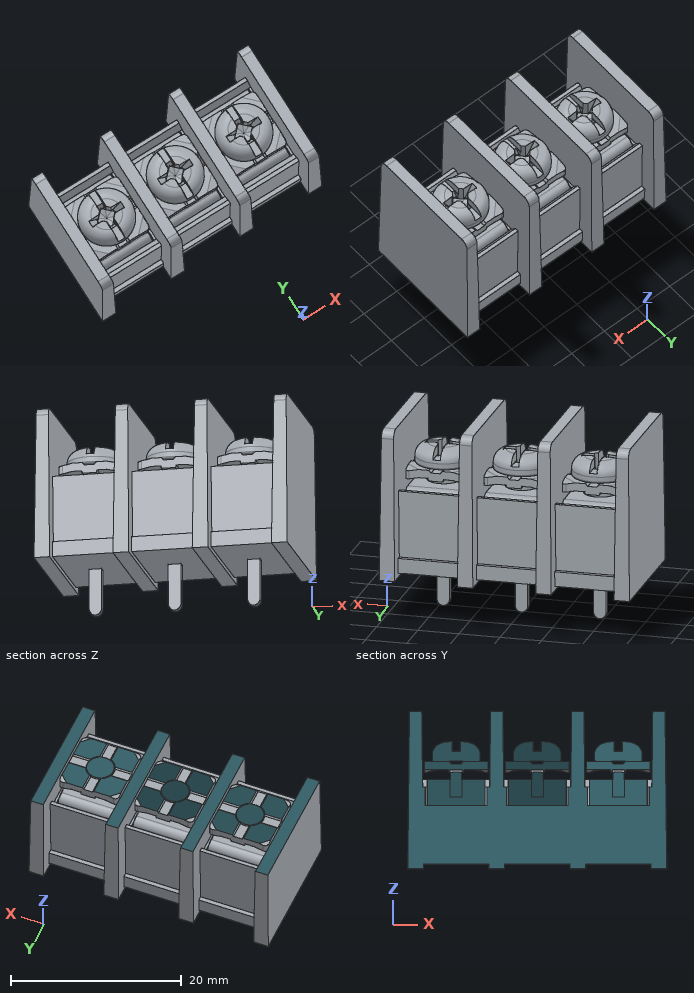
import cadquery as cq
import math


TOTAL_LENGTH = 30.4
POLE_COUNT = 3

DIVIDER_FOOT_X = 1.9
DIVIDER_FOOT_Y = 16.3
DIVIDER_TOP_X = 1.5
DIVIDER_TOP_Y = 15.7
DIVIDER_HEIGHT = 18.48
DIVIDER_CORNER_RADIUS = 1.0
PITCH = (TOTAL_LENGTH - DIVIDER_FOOT_X) / POLE_COUNT
POLE_CENTRES = [(i - (POLE_COUNT - 1) / 2) * PITCH for i in range(POLE_COUNT)]

BODY_LENGTH = POLE_COUNT * PITCH
BODY_DEPTH = 11.8
BODY_TOP = 10.5
FLANGE_DEPTH = 12.9
FLANGE_BOTTOM = 0.52
FLANGE_TOP = 2.35
RIM_WIDTH = 0.5
SEAT_DEPTH = 0.88

TERMINAL_X = 6.8
TERMINAL_Y = 9.42
TERMINAL_HEIGHT = 3.05
TERMINAL_EDGE_RADIUS = 0.97
TERMINAL_TOP = BODY_TOP
TERMINAL_BOTTOM = TERMINAL_TOP - TERMINAL_HEIGHT
POCKET_X = 7.2
PIN_WIDTH = 1.52
PIN_THICKNESS = 0.8
PIN_REACH = 5.1

PLATE_SIDE = 7.5
PLATE_THICKNESS = 1.0
PLATE_TOP = 12.62
PLATE_BOTTOM = PLATE_TOP - PLATE_THICKNESS
PLATE_CORNER_RADIUS = 0.55
PLATE_HOLE_DIAMETER = 3.4
BENT_CORNER_LEG = 1.7
BENT_CORNER_SLOPE = 0.3
GROOVE_DEPTH = 0.3
GROOVE_TOP_WIDTH = 1.65
GROOVE_FLOOR_WIDTH = 1.1
BEAD_DEPTH = 0.3
BEAD_ROOT_WIDTH = 1.9
BEAD_TIP_WIDTH = 1.7

HEAD_DIAMETER = 6.8
HEAD_TOP = 15.05
HEAD_RIM_TOP = 13.4
HEAD_CROWN_DIAMETER = 3.7
HEAD_CROWN_RISE = 0.1
HEAD_UNDERSIDE_RADIUS = 0.18
NECK_DIAMETER = 3.3
THREAD_DIAMETER = 4.0
THREAD_TOP = PLATE_BOTTOM - BEAD_DEPTH
THREAD_ENGAGEMENT = 2.0
THREAD_END = TERMINAL_TOP - THREAD_ENGAGEMENT
SLOT_WIDTH = 0.9
SLOT_DEPTH = 1.25
CROSS_ARM_WIDTH = 0.82
CROSS_TOP_LENGTH = 4.55
CROSS_FLOOR_LENGTH = 2.3
CROSS_DEPTH = 2.0
CORE_SIDE = 1.8
CORE_POINT_SIDES = 8
CORE_POINT_DEPTH = 0.45
CORE_POINT_TIP = 0.05


def block(size_x, size_y, bottom, top):
    """Box centred on the Z axis between two heights."""
    return cq.Workplane("XY").workplane(offset=bottom).rect(size_x, size_y).extrude(top - bottom)


def trapezoid_bar(upper_width, lower_width, bottom, top, length):
    """Bar along Y whose section narrows or widens from top to bottom."""
    return (
        cq.Workplane("XZ")
        .polyline([
            (-upper_width / 2, top),
            (upper_width / 2, top),
            (lower_width / 2, bottom),
            (-lower_width / 2, bottom),
        ])
        .close()
        .extrude(length / 2, both=True)
    )


def quarter_turn(shape):
    return shape.rotate((0, 0, 0), (0, 0, 1), 90)


def make_divider():
    divider = (
        cq.Workplane("XY")
        .rect(DIVIDER_FOOT_X, DIVIDER_FOOT_Y)
        .workplane(offset=DIVIDER_HEIGHT)
        .rect(DIVIDER_TOP_X, DIVIDER_TOP_Y)
        .loft(combine=True)
    )
    return divider.faces(">Z").edges("|X").fillet(DIVIDER_CORNER_RADIUS)


def make_housing():
    body = block(BODY_LENGTH, BODY_DEPTH, FLANGE_BOTTOM, BODY_TOP)
    body = body.union(block(BODY_LENGTH, FLANGE_DEPTH, FLANGE_BOTTOM, FLANGE_TOP))

    seat = trapezoid_bar(
        BODY_DEPTH - 2 * RIM_WIDTH, TERMINAL_Y, BODY_TOP - SEAT_DEPTH, BODY_TOP, BODY_LENGTH
    )
    body = body.cut(quarter_turn(seat))

    pocket = block(POCKET_X, TERMINAL_Y, TERMINAL_BOTTOM, TERMINAL_TOP)
    pin_slot = block(PIN_WIDTH, PIN_THICKNESS, 0, TERMINAL_BOTTOM)
    for x in POLE_CENTRES:
        body = body.cut(pocket.translate((x, 0, 0)))
        body = body.cut(pin_slot.translate((x, 0, 0)))

    divider = make_divider()
    for i in range(POLE_COUNT + 1):
        body = body.union(divider.translate((i * PITCH - BODY_LENGTH / 2, 0, 0)))
    return body


def make_terminal():
    """Round-edged saddle with a blind screw hole and a flat, round-ended pin."""
    saddle = block(TERMINAL_X, TERMINAL_Y, TERMINAL_BOTTOM, TERMINAL_TOP)
    saddle = saddle.faces(">Z").edges("|X").fillet(TERMINAL_EDGE_RADIUS)
    pin = block(PIN_WIDTH, PIN_THICKNESS, PIN_WIDTH / 2 - PIN_REACH, TERMINAL_BOTTOM)
    pin_end = (
        cq.Workplane("XZ")
        .center(0, PIN_WIDTH / 2 - PIN_REACH)
        .circle(PIN_WIDTH / 2)
        .extrude(PIN_THICKNESS / 2, both=True)
    )
    screw_hole = (
        cq.Workplane("XY")
        .workplane(offset=THREAD_END)
        .circle(THREAD_DIAMETER / 2)
        .extrude(THREAD_ENGAGEMENT)
    )
    return saddle.union(pin).union(pin_end).cut(screw_hole)


def make_pressure_plate():
    """Square plate with its corners bent down, crossed grooves on top and a bead below."""
    corner_distance = PLATE_SIDE / math.sqrt(2)
    bend_distance = (PLATE_SIDE - BENT_CORNER_LEG) / math.sqrt(2)
    corner_drop = (corner_distance - bend_distance) * BENT_CORNER_SLOPE

    square = block(PLATE_SIDE, PLATE_SIDE, PLATE_BOTTOM - corner_drop, PLATE_TOP)
    flat = block(2 * bend_distance, 2 * bend_distance, PLATE_BOTTOM, PLATE_TOP)
    plate = flat.rotate((0, 0, 0), (0, 0, 1), 45)

    corner = (
        cq.Workplane("XZ")
        .polyline([
            (bend_distance, PLATE_TOP),
            (corner_distance, PLATE_TOP - corner_drop),
            (corner_distance, PLATE_BOTTOM - corner_drop),
            (bend_distance, PLATE_BOTTOM),
        ])
        .close()
        .extrude(BENT_CORNER_LEG, both=True)
    )
    for i in range(4):
        plate = plate.union(corner.rotate((0, 0, 0), (0, 0, 1), 45 + 90 * i))
    plate = plate.intersect(square.edges("|Z").fillet(PLATE_CORNER_RADIUS))

    bead = trapezoid_bar(
        BEAD_ROOT_WIDTH, BEAD_TIP_WIDTH, PLATE_BOTTOM - BEAD_DEPTH, PLATE_BOTTOM, PLATE_SIDE
    )
    plate = plate.union(bead)

    groove = trapezoid_bar(
        GROOVE_TOP_WIDTH, GROOVE_FLOOR_WIDTH, PLATE_TOP - GROOVE_DEPTH, PLATE_TOP, PLATE_SIDE
    )
    plate = plate.cut(groove).cut(quarter_turn(groove))

    neck_hole = cq.Workplane("XY").circle(PLATE_HOLE_DIAMETER / 2).extrude(PLATE_TOP)
    thread_clearance = cq.Workplane("XY").circle(THREAD_DIAMETER / 2).extrude(PLATE_BOTTOM)
    return plate.cut(neck_hole).cut(thread_clearance)


def make_screw():
    """Domed screw with a necked shank, a straight slot and a cross recess."""
    head_radius = HEAD_DIAMETER / 2
    neck_radius = NECK_DIAMETER / 2
    thread_radius = THREAD_DIAMETER / 2
    crown_radius = HEAD_CROWN_DIAMETER / 2
    screw = (
        cq.Workplane("XZ")
        .moveTo(0, THREAD_END)
        .lineTo(thread_radius, THREAD_END)
        .lineTo(thread_radius, THREAD_TOP)
        .lineTo(neck_radius, PLATE_BOTTOM)
        .lineTo(neck_radius, PLATE_TOP)
        .lineTo(head_radius - HEAD_UNDERSIDE_RADIUS, PLATE_TOP)
        .radiusArc((head_radius, PLATE_TOP + HEAD_UNDERSIDE_RADIUS), -HEAD_UNDERSIDE_RADIUS)
        .lineTo(head_radius, HEAD_RIM_TOP)
        .tangentArcPoint((crown_radius, HEAD_TOP - HEAD_CROWN_RISE), relative=False)
        .threePointArc((crown_radius / 2, HEAD_TOP - HEAD_CROWN_RISE / 4), (0, HEAD_TOP))
        .close()
        .revolve(360, (0, 0, 0), (0, 1, 0))
    )

    slot = block(SLOT_WIDTH, HEAD_DIAMETER, HEAD_TOP - SLOT_DEPTH, HEAD_TOP)
    screw = screw.cut(slot)

    cross_floor = HEAD_TOP - CROSS_DEPTH
    arm = trapezoid_bar(
        CROSS_TOP_LENGTH, CROSS_FLOOR_LENGTH, cross_floor, HEAD_TOP, CROSS_ARM_WIDTH
    )
    core = block(CORE_SIDE, CORE_SIDE, cross_floor, HEAD_TOP)
    core_point = (
        cq.Workplane("XY")
        .workplane(offset=cross_floor)
        .polygon(CORE_POINT_SIDES, CROSS_FLOOR_LENGTH, circumscribed=True)
        .workplane(offset=-CORE_POINT_DEPTH)
        .polygon(CORE_POINT_SIDES, CORE_POINT_TIP)
        .loft(combine=True)
    )
    core_well = block(CORE_SIDE, CORE_SIDE, cross_floor - CORE_POINT_DEPTH, cross_floor)
    core = core.union(core_point.intersect(core_well)).rotate((0, 0, 0), (0, 0, 1), 45)
    return screw.cut(arm).cut(quarter_turn(arm)).cut(core)


def one_per_pole(body):
    return [body.translate((x, 0, 0)).val() for x in POLE_CENTRES]


housing = make_housing()
terminals = one_per_pole(make_terminal())
pressure_plates = one_per_pole(make_pressure_plate())
screws = one_per_pole(make_screw())

result = cq.Compound.makeCompound([housing.val(), *terminals, *pressure_plates, *screws])